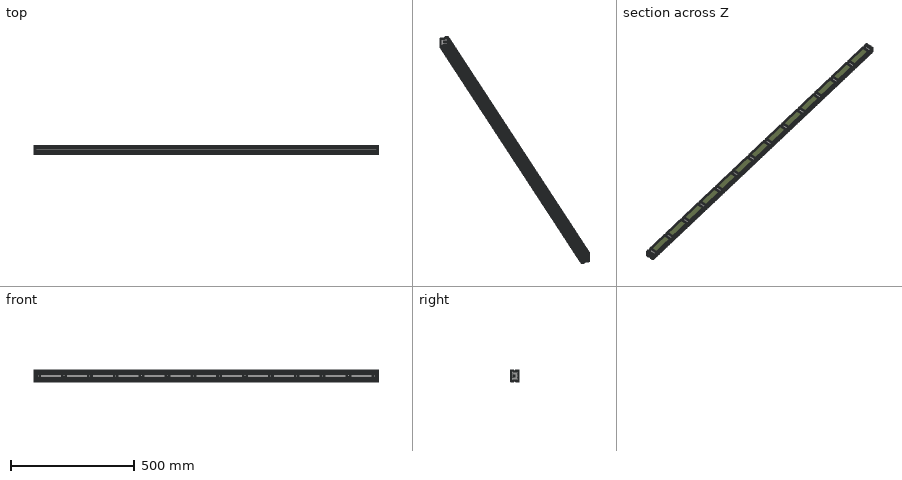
import cadquery as cq
import math

LENGTH = 1395.0
HEIGHT = 32.0
WIDTH = 45.0
HALF_WIDTH = WIDTH / 2
FACE_Y = -HEIGHT / 2
BASE_Y = HEIGHT / 2

FACE_CHAMFER = 2.0
CHANNEL_DEPTH = 0.5
CHANNEL_HALF_WIDTH = 15.0
STRIP_HALF_WIDTH = 7.5

GROOVE_FLOOR_Z = 18.75
HEAD_FLANK_Y = -7.5
FLANGE_BEVEL_ANGLE = 23.4
FLANGE_BEVEL_START_Y = 8.5
FLANGE_WALL_Y = 6.0
BASE_BEVEL_DEPTH = 3.35
BASE_BEVEL_INSET = 1.5
GROOVE_FILLET = 2.0

HOLE_COUNT = 14
HOLE_PITCH = 105.0
HOLE_DIAMETER = 14.0
HOLE_CHAMFER = 0.5
CHAMFER_ANGLE = 45.0

END_HOLE_DIAMETER = 4.0
END_HOLE_DEPTH = 6.0
END_HOLE_Y = -2.1


def side_outline(sketch):
    """Outline of the +Z half, from the mounting face round to the base."""
    flange_slope = math.tan(math.radians(FLANGE_BEVEL_ANGLE))
    wall_top_z = HALF_WIDTH - (FLANGE_BEVEL_START_Y - FLANGE_WALL_Y) * flange_slope
    groove_depth = HALF_WIDTH - GROOVE_FLOOR_Z
    channel_floor_y = FACE_Y + CHANNEL_DEPTH
    fillet_mid = GROOVE_FILLET * (1 - math.sqrt(0.5))
    return (
        sketch.moveTo(FACE_Y, 0)
        .lineTo(FACE_Y, STRIP_HALF_WIDTH)
        .lineTo(channel_floor_y, STRIP_HALF_WIDTH)
        .lineTo(channel_floor_y, CHANNEL_HALF_WIDTH - CHANNEL_DEPTH)
        .lineTo(FACE_Y, CHANNEL_HALF_WIDTH)
        .lineTo(FACE_Y, HALF_WIDTH - FACE_CHAMFER)
        .lineTo(FACE_Y + FACE_CHAMFER, HALF_WIDTH)
        .lineTo(HEAD_FLANK_Y, HALF_WIDTH)
        .lineTo(HEAD_FLANK_Y + groove_depth, GROOVE_FLOOR_Z)
        .lineTo(FLANGE_WALL_Y - GROOVE_FILLET, GROOVE_FLOOR_Z)
        .threePointArc(
            (FLANGE_WALL_Y - fillet_mid, GROOVE_FLOOR_Z + fillet_mid),
            (FLANGE_WALL_Y, GROOVE_FLOOR_Z + GROOVE_FILLET),
        )
        .lineTo(FLANGE_WALL_Y, wall_top_z)
        .lineTo(FLANGE_BEVEL_START_Y, HALF_WIDTH)
        .lineTo(BASE_Y - BASE_BEVEL_DEPTH, HALF_WIDTH)
        .lineTo(BASE_Y, HALF_WIDTH - BASE_BEVEL_INSET)
        .lineTo(BASE_Y, 0)
    )


def rail_body():
    """Mirror the half outline across Z = 0 and extrude it along X."""
    start = cq.Workplane("YZ", origin=(-LENGTH / 2, 0, 0))
    half = side_outline(start).close().extrude(LENGTH)
    return half.union(half.mirror("XY")).clean()


def mounting_holes():
    """Through holes on the centre line, each with a chamfered mouth."""
    first_x = -HOLE_PITCH * (HOLE_COUNT - 1) / 2
    centres = [(first_x + i * HOLE_PITCH, 0) for i in range(HOLE_COUNT)]
    face = cq.Workplane("XZ", origin=(0, FACE_Y, 0)).pushPoints(centres)
    through = face.circle(HOLE_DIAMETER / 2).extrude(-HEIGHT)
    chamfers = face.circle(HOLE_DIAMETER / 2 + HOLE_CHAMFER).extrude(-HOLE_CHAMFER, taper=CHAMFER_ANGLE)
    return through.union(chamfers)


def end_hole(end_x, inward):
    """Blind hole running inward from one end of the rail."""
    return (
        cq.Workplane("YZ", origin=(end_x, END_HOLE_Y, 0))
        .circle(END_HOLE_DIAMETER / 2)
        .extrude(inward * END_HOLE_DEPTH)
    )


result = rail_body().cut(mounting_holes())
for side in (-1, 1):
    result = result.cut(end_hole(side * LENGTH / 2, -side))